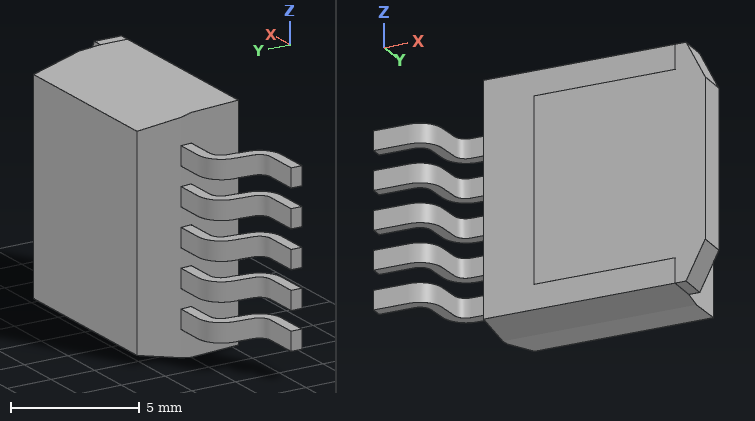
import cadquery as cq
import math

TOTAL_LENGTH = 14.35
BODY_HEIGHT = 4.65
BODY_WIDTH = 10.16

BASE_START_X = 4.75
NOSE_X = 4.43
ROOF_END_X = 12.5
HOUSING_END_X = 13.05
PARTING_Y = 2.32
ROOF_INSET = 0.43

TAB_THICKNESS = 1.25
PAD_START_X = 6.95
PAD_WIDTH = 8.01
TAB_CORNER_X = 13.52
TAB_CORNER_Z = 1.64

LEAD_COUNT = 5
LEAD_PITCH = 1.7
LEAD_WIDTH = 0.85
LEAD_THICKNESS = 0.5
INNER_BEND = 0.5
OUTER_BEND = INNER_BEND + LEAD_THICKNESS
SHOULDER_BEND = 1.08
FOOT_LENGTH = 1.54
SHOULDER_X = 3.11
LEAD_TOP_Y = PARTING_Y + LEAD_THICKNESS


def make_tab():
    """Exposed pad under the housing, widening to a full-width tab with two cut corners."""
    half_pad = PAD_WIDTH / 2
    half_tab = BODY_WIDTH / 2
    half_tip = half_tab - TAB_CORNER_Z
    outline = [
        (PAD_START_X, -half_pad),
        (HOUSING_END_X, -half_pad),
        (HOUSING_END_X, -half_tab),
        (TAB_CORNER_X, -half_tab),
        (TOTAL_LENGTH, -half_tip),
        (TOTAL_LENGTH, half_tip),
        (TAB_CORNER_X, half_tab),
        (HOUSING_END_X, half_tab),
        (HOUSING_END_X, half_pad),
        (PAD_START_X, half_pad),
    ]
    return cq.Workplane("XZ").polyline(outline).close().extrude(-TAB_THICKNESS)


def make_housing(tab):
    """Wedge-ended housing with leaning side walls and a recess for the tab."""
    long_section = [
        (BASE_START_X, 0),
        (HOUSING_END_X, 0),
        (HOUSING_END_X, TAB_THICKNESS),
        (ROOF_END_X, BODY_HEIGHT),
        (BASE_START_X, BODY_HEIGHT),
        (NOSE_X, LEAD_TOP_Y),
    ]
    half_width = BODY_WIDTH / 2
    half_roof = half_width - ROOF_INSET
    cross_section = [
        (0, -half_width),
        (PARTING_Y, -half_width),
        (BODY_HEIGHT, -half_roof),
        (BODY_HEIGHT, half_roof),
        (PARTING_Y, half_width),
        (0, half_width),
    ]
    block = cq.Workplane("XY").polyline(long_section).close().extrude(half_width, both=True)
    side_walls = cq.Workplane("YZ").polyline(cross_section).close().extrude(TOTAL_LENGTH)
    return block.intersect(side_walls).cut(tab)


def arc_point(center_x, center_y, radius, angle):
    """Point on a circle at the given angle in radians."""
    return center_x + radius * math.cos(angle), center_y + radius * math.sin(angle)


def make_lead(center_z):
    """S-bent strip from the foot to the sloping lead-side wall of the housing."""
    low_x, low_y = FOOT_LENGTH, OUTER_BEND
    high_x, high_y = SHOULDER_X, LEAD_TOP_Y - OUTER_BEND

    center_gap = math.hypot(high_x - low_x, high_y - low_y)
    center_angle = math.atan2(high_y - low_y, high_x - low_x)
    lean = math.acos((INNER_BEND + OUTER_BEND) / center_gap) - center_angle

    extra_radius = SHOULDER_BEND - OUTER_BEND
    shoulder_x = high_x + extra_radius * (1 - math.sin(lean)) / math.cos(lean)
    shoulder_y = high_y - extra_radius

    def low_point(radius, angle):
        return arc_point(low_x, low_y, radius, angle)

    def high_point(angle):
        return arc_point(high_x, high_y, INNER_BEND, angle)

    def shoulder_point(angle):
        return arc_point(shoulder_x, shoulder_y, SHOULDER_BEND, angle)

    low_end = -lean
    low_middle = (low_end - math.pi / 2) / 2
    high_start = math.pi - lean
    high_middle = (high_start + math.pi / 2) / 2

    wall_slope = (NOSE_X - BASE_START_X) / LEAD_TOP_Y
    lower_end_x = BASE_START_X + wall_slope * PARTING_Y

    outline = (
        cq.Workplane("XY", origin=(0, 0, center_z))
        .moveTo(0, 0)
        .lineTo(low_x, 0)
        .threePointArc(low_point(OUTER_BEND, low_middle), low_point(OUTER_BEND, low_end))
        .lineTo(*high_point(high_start))
        .threePointArc(high_point(high_middle), (high_x, PARTING_Y))
        .lineTo(lower_end_x, PARTING_Y)
        .lineTo(NOSE_X, LEAD_TOP_Y)
        .lineTo(shoulder_x, LEAD_TOP_Y)
        .threePointArc(shoulder_point(high_middle), shoulder_point(high_start))
        .lineTo(*low_point(INNER_BEND, low_end))
        .threePointArc(low_point(INNER_BEND, low_middle), (low_x, LEAD_THICKNESS))
        .lineTo(0, LEAD_THICKNESS)
        .close()
    )
    return outline.extrude(LEAD_WIDTH / 2, both=True)


tab = make_tab()
housing = make_housing(tab)

leads = []
for index in range(LEAD_COUNT):
    lead_z = (index - (LEAD_COUNT - 1) / 2) * LEAD_PITCH
    leads.append(make_lead(lead_z).val())

result = cq.Compound.makeCompound([housing.val(), tab.val(), *leads])